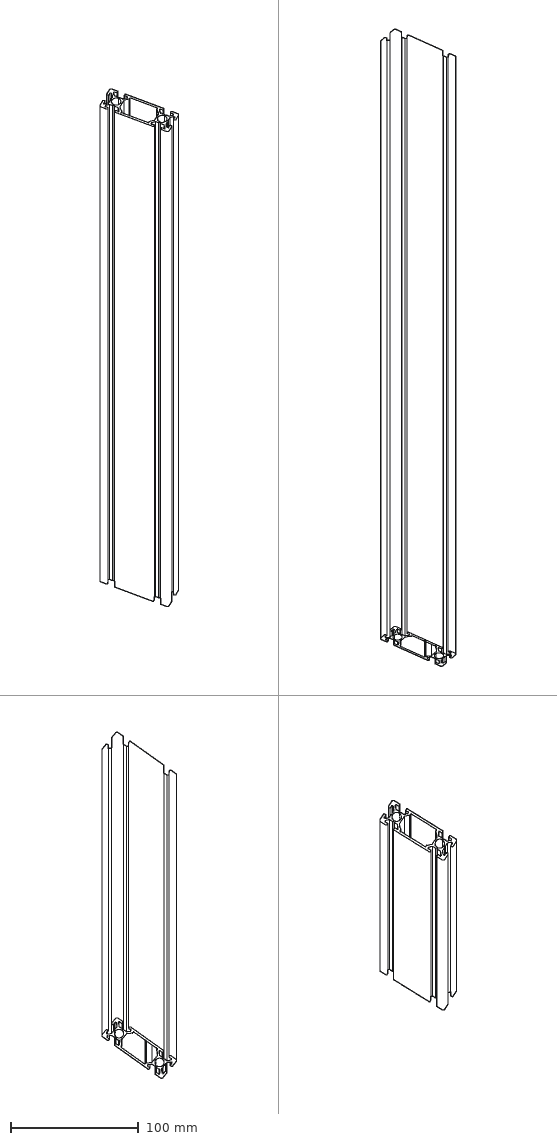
import cadquery as cq
import math

WIDTH = 60.0
LENGTH = 600.0
DEPTH = WIDTH / 3
HALF_MODULE = DEPTH / 2
CORE_X = WIDTH / 2 - HALF_MODULE
CORNER_RADIUS = 1.5

WALL = 1.85
HALF_CORE = 5.0
HOLE_DIAMETER = 7.0
WEB = 1.6
HALF_OPENING = 3.05
LIP_RADIUS = 0.5
HALF_CAVITY = 5.8
HALF_INNER_CAVITY = 6.5
HALF_GROOVE = 0.95
GROOVE_DEPTH = 0.55

WALL_INSIDE = HALF_MODULE - WALL
WEB_OFFSET = WEB / math.sqrt(2)
HALF_FLOOR = HALF_CORE - WEB_OFFSET


def slot_cavity(half_cavity):
    """Wide part of the +X slot, tapering between two webs to the face of the core."""
    taper_start = half_cavity + WEB_OFFSET
    return (
        cq.Workplane("XY")
        .moveTo(WALL_INSIDE, half_cavity)
        .lineTo(taper_start, half_cavity)
        .lineTo(HALF_CORE, HALF_FLOOR)
        .lineTo(HALF_CORE, -HALF_FLOOR)
        .lineTo(taper_start, -half_cavity)
        .lineTo(WALL_INSIDE, -half_cavity)
        .close()
        .extrude(LENGTH)
    )


def slot_opening():
    """Gap between the lips of the +X slot, flared by the round on each lip."""
    half_mouth = HALF_OPENING + LIP_RADIUS
    round_start = HALF_MODULE - LIP_RADIUS
    arc_inset = LIP_RADIUS * (1 - math.sqrt(0.5))
    arc_middle_x = HALF_MODULE - arc_inset
    arc_middle_y = HALF_OPENING + arc_inset
    return (
        cq.Workplane("XY")
        .moveTo(WALL_INSIDE, -HALF_OPENING)
        .lineTo(round_start, -HALF_OPENING)
        .threePointArc((arc_middle_x, -arc_middle_y), (HALF_MODULE, -half_mouth))
        .lineTo(HALF_MODULE, half_mouth)
        .threePointArc((arc_middle_x, arc_middle_y), (round_start, HALF_OPENING))
        .lineTo(WALL_INSIDE, HALF_OPENING)
        .close()
        .extrude(LENGTH)
    )


def floor_groove():
    """V groove in the face of the core, at the middle of the +X slot floor."""
    outline = [
        (HALF_CORE, HALF_GROOVE),
        (HALF_CORE - GROOVE_DEPTH, 0),
        (HALF_CORE, -HALF_GROOVE),
    ]
    return cq.Workplane("XY").polyline(outline).close().extrude(LENGTH)


def end_module_voids():
    """Voids of the +X end module: core hole, three open slots and one inner cavity."""
    voids = cq.Workplane("XY").circle(HOLE_DIAMETER / 2).extrude(LENGTH)
    open_slot = slot_cavity(HALF_CAVITY).union(slot_opening()).union(floor_groove())
    for angle in (-90, 0, 90):
        voids = voids.union(open_slot.rotate((0, 0, 0), (0, 0, 1), angle))
    inner_cavity = slot_cavity(HALF_INNER_CAVITY).mirror("YZ")
    return voids.union(inner_cavity).translate((CORE_X, 0, 0))


bar = cq.Workplane("XY").rect(WIDTH, DEPTH).extrude(LENGTH)
bar = bar.edges("|Z").fillet(CORNER_RADIUS)

chamber_width = 2 * (CORE_X - WALL_INSIDE)
chamber = cq.Workplane("XY").rect(chamber_width, 2 * WALL_INSIDE).extrude(LENGTH)

right_voids = end_module_voids()
left_voids = right_voids.mirror("YZ")

result = bar.cut(chamber).cut(right_voids).cut(left_voids)